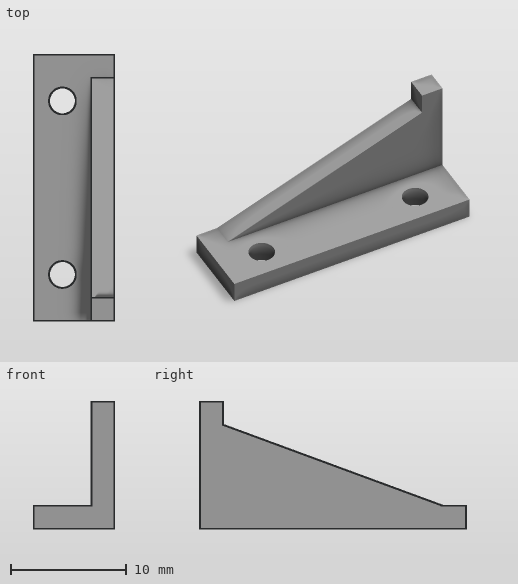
import cadquery as cq

width = 7.0
length = 23.0
height = 11.0
thickness = 2.0

post_step = 2.0
slope_setback = 2.0
slope_top_z = height - post_step
slope_end_y = length - slope_setback

hole_diameter = 2.3
hole_x = (width - thickness) / 2
hole_end_distance = 4.0
hole_y_positions = (hole_end_distance, length - hole_end_distance)


def make_base():
    """Flat plate with its front left bottom corner at the origin."""
    return cq.Workplane("XY").box(width, length, thickness, centered=False)


def make_wall():
    """Upright wall along the +X edge: a post at the front, then a slope down to the base."""
    return (
        cq.Workplane("YZ", origin=(width - thickness, 0, 0))
        .moveTo(0, 0)
        .lineTo(0, height)
        .lineTo(thickness, height)
        .lineTo(thickness, slope_top_z)
        .lineTo(slope_end_y, thickness)
        .lineTo(slope_end_y, 0)
        .close()
        .extrude(thickness)
    )


def make_holes():
    """Vertical cylinders to be cut through the base plate."""
    return (
        cq.Workplane("XY")
        .pushPoints([(hole_x, y) for y in hole_y_positions])
        .circle(hole_diameter / 2)
        .extrude(thickness)
    )


result = make_base().union(make_wall()).cut(make_holes())